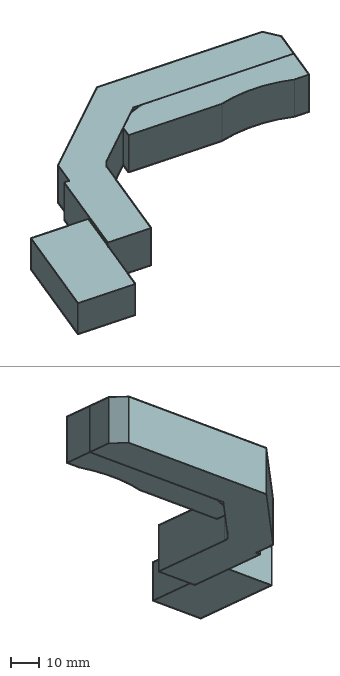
import cadquery as cq
import math

overall_length = 124.7
body_height = 18.0

block_left = 58.4
block_width = 37.5
block_depth = 22.6
block_height = 15.0

arm_width = 15.1
end_chamfer = 5.0
outer_bend_y = 54.7
relief_y = 24.6
pad_left = 39.2
foot_right = 73.8
foot_top = 39.7
inner_bend_y = 61.6
foot_fillet_radius = 5.0

liner_right = 27.2
liner_bottom = 53.7
liner_corner_setback = 2.9
scallop_top = 118.8
scallop_bottom = 90.3
scallop_depth = 2.0

outer_bend_end_x = outer_bend_y - relief_y
inner_bend_end_x = arm_width + inner_bend_y - foot_top
liner_toe_x = arm_width + inner_bend_y - liner_bottom


def make_bracket():
    """Arm, 45 degree bend and foot with a raised mounting pad."""
    bracket = (
        cq.Workplane("XY")
        .moveTo(end_chamfer, overall_length)
        .lineTo(arm_width, overall_length)
        .lineTo(arm_width, inner_bend_y)
        .lineTo(inner_bend_end_x, foot_top)
        .lineTo(foot_right, foot_top)
        .lineTo(foot_right, block_depth)
        .lineTo(pad_left, block_depth)
        .lineTo(pad_left, relief_y)
        .lineTo(outer_bend_end_x, relief_y)
        .lineTo(0, outer_bend_y)
        .lineTo(0, overall_length - end_chamfer)
        .close()
        .extrude(body_height)
    )
    foot_corner = cq.selectors.NearestToPointSelector((inner_bend_end_x, foot_top, body_height / 2))
    return bracket.edges(foot_corner).fillet(foot_fillet_radius)


def make_liner():
    """Strip following the arm, with a shallow scallop and a flattened inner corner."""
    diagonal_setback = liner_corner_setback / math.sqrt(2)
    scallop_middle = (liner_right - scallop_depth, (scallop_top + scallop_bottom) / 2)
    return (
        cq.Workplane("XY")
        .moveTo(arm_width, overall_length)
        .lineTo(liner_right, overall_length)
        .lineTo(liner_right, scallop_top)
        .threePointArc(scallop_middle, (liner_right, scallop_bottom))
        .lineTo(liner_right, liner_bottom)
        .lineTo(liner_toe_x, liner_bottom)
        .lineTo(arm_width + diagonal_setback, inner_bend_y - diagonal_setback)
        .lineTo(arm_width, inner_bend_y + liner_corner_setback)
        .close()
        .extrude(body_height)
    )


def make_block():
    """Rectangular block seated against the mounting pad."""
    return cq.Workplane("XY").box(block_width, block_depth, block_height, centered=False).translate(
        (block_left, 0, (body_height - block_height) / 2)
    )


bracket = make_bracket()
liner = make_liner()
block = make_block()

result = cq.Compound.makeCompound([bracket.val(), liner.val(), block.val()])